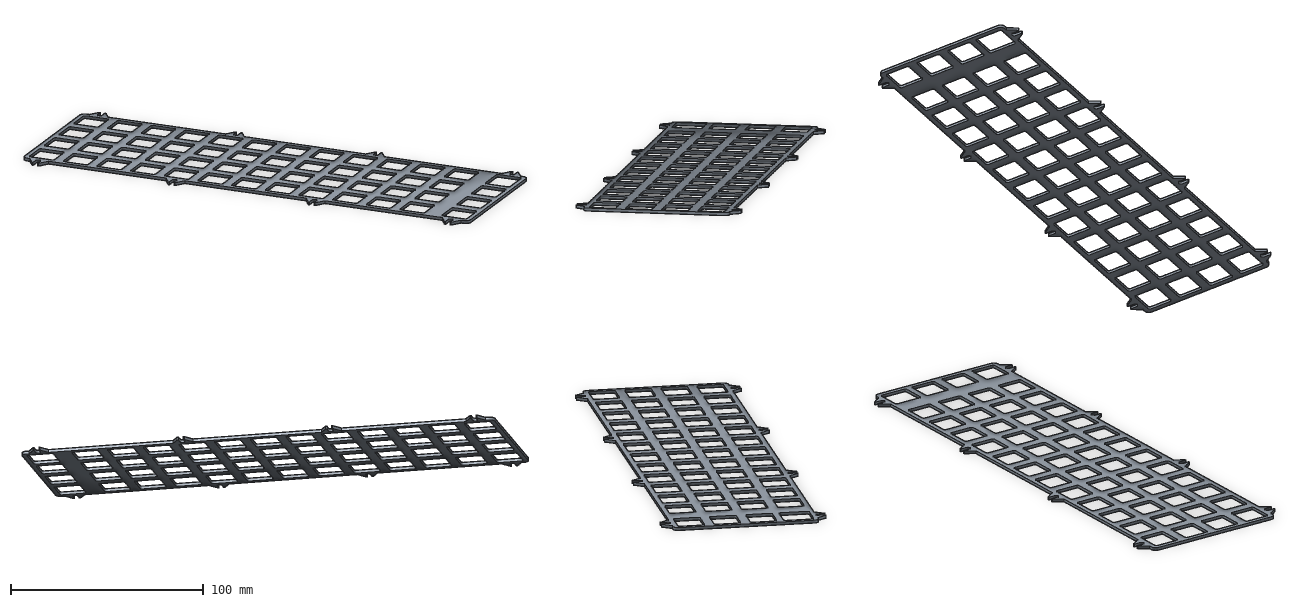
import cadquery as cq

length = 252.5
plate_width = 76.7
thickness = 1.6
corner_radius = 2.8

row_count = 4
even_column_count = 12
last_column_step_ratio = 1.25
side_rim = 2.5
web = 5.0
tall_opening_height = 16.0
tall_opening_drop = 0.5
opening_radius = 1.0

overall_width = 86.8
tab_base = 10.5
tab_tip = 3.8
slot_width = 2.5
inner_tab_x = 39.6

plate_edge_y = plate_width / 2
tab_tip_y = overall_width / 2
pitch = (length - 2 * side_rim + web) / (even_column_count + last_column_step_ratio)
opening = pitch - web
last_column_x = length / 2 - side_rim - opening / 2
first_column_x = -last_column_x
top_row_y = (row_count - 1) * pitch / 2
column_xs = [first_column_x + i * pitch for i in range(even_column_count)] + [last_column_x]
row_ys = [top_row_y - i * pitch for i in range(row_count)]
tab_xs = [first_column_x, -inner_tab_x, inner_tab_x, last_column_x]


def make_plate():
    plate = cq.Workplane("XY").box(length, plate_width, thickness, centered=(True, True, False))
    return plate.edges("|Z").fillet(corner_radius)


def make_tab(x, side):
    """Tapered tab on the +Y (side = 1) or -Y (side = -1) edge, rooted inside the plate rim."""
    root_y = plate_edge_y - side_rim / 2
    outline = [
        (x - tab_base / 2, side * root_y),
        (x - tab_base / 2, side * plate_edge_y),
        (x - tab_tip / 2, side * tab_tip_y),
        (x + tab_tip / 2, side * tab_tip_y),
        (x + tab_base / 2, side * plate_edge_y),
        (x + tab_base / 2, side * root_y),
    ]
    return cq.Workplane("XY").polyline(outline).close().extrude(thickness)


def make_tab_slot(x, side):
    """Round-bottomed slot, open at the tab tip and ending level with the plate edge."""
    half_slot = slot_width / 2
    shoulder_y = side * (plate_edge_y + half_slot)
    return (
        cq.Workplane("XY")
        .moveTo(x - half_slot, side * tab_tip_y)
        .lineTo(x - half_slot, shoulder_y)
        .threePointArc((x, side * plate_edge_y), (x + half_slot, shoulder_y))
        .lineTo(x + half_slot, side * tab_tip_y)
        .close()
        .extrude(thickness)
    )


def make_opening(x, y, height):
    block = cq.Workplane("XY").center(x, y).rect(opening, height).extrude(thickness)
    return block.edges("|Z").fillet(opening_radius)


result = make_plate()

for tab_x in tab_xs:
    for tab_side in (1, -1):
        result = result.union(make_tab(tab_x, tab_side)).cut(make_tab_slot(tab_x, tab_side))

for column_x in column_xs:
    for row_y in row_ys:
        is_tall = column_x == last_column_x and row_y == top_row_y
        if is_tall:
            cutter = make_opening(column_x, row_y - tall_opening_drop, tall_opening_height)
        else:
            cutter = make_opening(column_x, row_y, opening)
        result = result.cut(cutter)